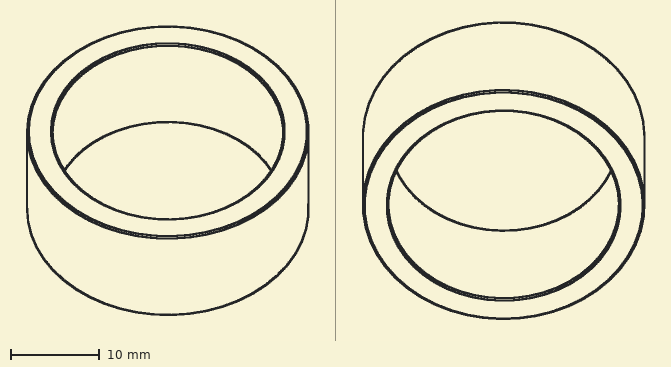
import cadquery as cq

outer_diameter = 31.8
bore_diameter = 26.0
height = 13.5
edge_chamfer = 0.2

ring = (
    cq.Workplane("XY")
    .circle(outer_diameter / 2)
    .circle(bore_diameter / 2)
    .extrude(height)
)

result = ring.faces("<Z or >Z").edges().chamfer(edge_chamfer)